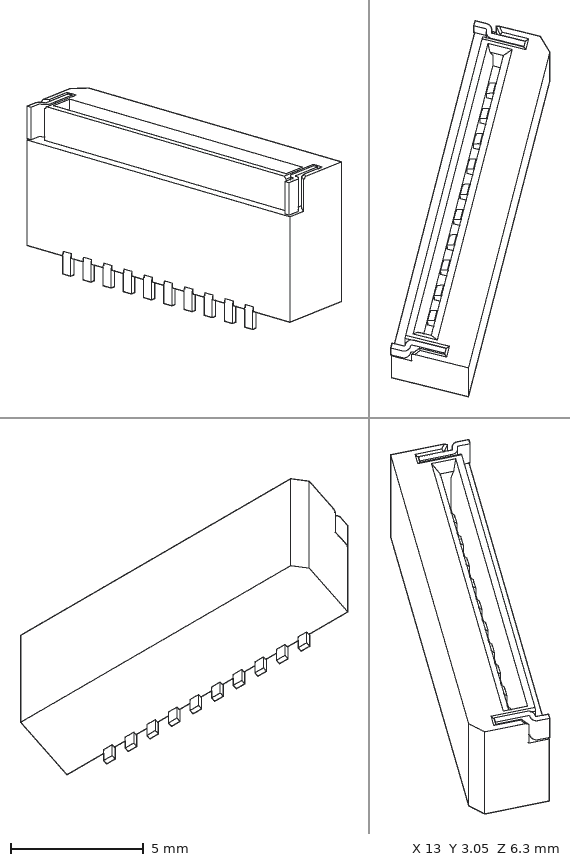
import cadquery as cq
import math

BODY_LENGTH = 13.0
BODY_DEPTH = 3.0
BODY_HEIGHT = 5.6
CORNER_CHAMFER = 0.5
HALF_LENGTH = BODY_LENGTH / 2
OVERCUT = 1.0

STEP_DROP = 1.37
TONGUE_FRONT = 0.4

MOUTH_LENGTH = 11.5
MOUTH_FRONT = 0.66
MOUTH_BACK = 1.6
FUNNEL_DEPTH = 0.5
FRONT_FLANK_DEPTH = 0.93
SLOT_LENGTH = 11.08
SLOT_FRONT = 0.9
SLOT_BACK = 1.31
SLOT_DEPTH = 3.0

CONTACT_COUNT = 10
PITCH = 1.0
CONTACT_WIDTH = 0.4
CONTACT_HEIGHT = 1.2
CONTACT_SEGMENTS = (
    (0.09, 0.05),
    (0.08, 0.09),
    (0.18, 0.25),
)
TAIL_LENGTH = 0.7
TAIL_THICKNESS = 0.2
TAIL_PROTRUSION = 0.05
TAIL_BEND_RADIUS = 0.4

CLIP_THICKNESS = 0.2
CLIP_HEIGHT = 1.3
CLIP_PROTRUSION = 0.03
CLIP_LEG_INSET = 0.02
CLIP_LEAF_INSET = 0.33
CLIP_BACK = 2.0
CLIP_JOG_Y = 0.58
CLIP_INNER_RADIUS = (CLIP_LEAF_INSET - CLIP_LEG_INSET - CLIP_THICKNESS) / 2
CLIP_OUTER_RADIUS = CLIP_INNER_RADIUS + CLIP_THICKNESS

POCKET_LIP_WIDTH = 0.3
POCKET_LIP_FRONT = 1.02
POCKET_LIP_OUTER = 0.79
POCKET_CHAMFER = 0.1


def make_housing():
    """Solid block with one chamfered rear corner and the front step."""
    block = (
        cq.Workplane("XY")
        .box(BODY_LENGTH, BODY_DEPTH, BODY_HEIGHT, centered=(True, False, False))
        .edges("|Z and <X and >Y")
        .chamfer(CORNER_CHAMFER)
    )
    step = (
        cq.Workplane("XY", origin=(0, 0, BODY_HEIGHT - STEP_DROP))
        .box(BODY_LENGTH, TONGUE_FRONT, STEP_DROP, centered=(True, False, False))
    )
    return block.cut(step)


def make_mouth():
    """Card slot with a four-sided funnel above it."""
    funnel_bottom = BODY_HEIGHT - FUNNEL_DEPTH
    flank_run = (SLOT_FRONT - MOUTH_FRONT) * FUNNEL_DEPTH / FRONT_FLANK_DEPTH
    throat_front = MOUTH_FRONT + flank_run
    throat_middle = (SLOT_BACK + throat_front) / 2
    mouth_middle = (MOUTH_BACK + MOUTH_FRONT) / 2
    funnel = (
        cq.Workplane("XY", origin=(0, throat_middle, funnel_bottom))
        .rect(SLOT_LENGTH, SLOT_BACK - throat_front)
        .workplane(offset=FUNNEL_DEPTH)
        .center(0, mouth_middle - throat_middle)
        .rect(MOUTH_LENGTH, MOUTH_BACK - MOUTH_FRONT)
        .loft(ruled=True)
    )
    slot_profile = [
        (SLOT_BACK, funnel_bottom),
        (throat_front, funnel_bottom),
        (SLOT_FRONT, BODY_HEIGHT - FRONT_FLANK_DEPTH),
        (SLOT_FRONT, BODY_HEIGHT - SLOT_DEPTH),
        (SLOT_BACK, BODY_HEIGHT - SLOT_DEPTH),
    ]
    slot = (
        cq.Workplane("YZ")
        .polyline(slot_profile)
        .close()
        .extrude(SLOT_LENGTH / 2, both=True)
    )
    return funnel.union(slot)


def make_clip_pocket():
    """Left end pocket, open to the front and side, chamfered at the top."""
    lip_inner_x = POCKET_LIP_WIDTH - HALF_LENGTH
    tongue_end_x = CLIP_LEAF_INSET + CLIP_THICKNESS - HALF_LENGTH
    lip_slope = (POCKET_LIP_OUTER - POCKET_LIP_FRONT) / POCKET_LIP_WIDTH
    outline = [
        (tongue_end_x, -OVERCUT),
        (tongue_end_x, CLIP_BACK),
        (lip_inner_x, CLIP_BACK),
        (lip_inner_x, POCKET_LIP_FRONT),
        (-HALF_LENGTH - OVERCUT, POCKET_LIP_OUTER + lip_slope * OVERCUT),
        (-HALF_LENGTH - OVERCUT, -OVERCUT),
    ]
    straight = (
        cq.Workplane("XY", origin=(0, 0, BODY_HEIGHT - STEP_DROP))
        .polyline(outline)
        .close()
        .extrude(STEP_DROP)
    )
    flare_bottom = (
        cq.Workplane("XY", origin=(0, 0, BODY_HEIGHT - POCKET_CHAMFER))
        .polyline(outline)
        .close()
        .val()
    )
    flare_top = (
        cq.Workplane("XY", origin=(0, 0, BODY_HEIGHT))
        .polyline(outline)
        .close()
        .offset2D(POCKET_CHAMFER, "intersection")
        .val()
    )
    flare = cq.Workplane(cq.Solid.makeLoft([flare_bottom, flare_top], True))
    return straight.union(flare)


def make_clip():
    """Left clip: a leaf and a leg joined by an S-shaped jog of two quarter bends."""
    leaf_outer = CLIP_LEAF_INSET - HALF_LENGTH
    leaf_inner = leaf_outer + CLIP_THICKNESS
    leg_outer = CLIP_LEG_INSET - HALF_LENGTH
    leg_inner = leg_outer + CLIP_THICKNESS
    jog_back = CLIP_JOG_Y + CLIP_THICKNESS / 2
    jog_front = CLIP_JOG_Y - CLIP_THICKNESS / 2
    meeting_x = leg_outer + CLIP_OUTER_RADIUS
    return (
        cq.Workplane("XY", origin=(0, 0, BODY_HEIGHT - CLIP_HEIGHT))
        .moveTo(leaf_inner, CLIP_BACK)
        .lineTo(leaf_outer, CLIP_BACK)
        .lineTo(leaf_outer, jog_back + CLIP_INNER_RADIUS)
        .radiusArc((meeting_x, jog_back), CLIP_INNER_RADIUS)
        .radiusArc((leg_outer, jog_back - CLIP_OUTER_RADIUS), -CLIP_OUTER_RADIUS)
        .lineTo(leg_outer, -CLIP_PROTRUSION)
        .lineTo(leg_inner, -CLIP_PROTRUSION)
        .lineTo(leg_inner, jog_front - CLIP_INNER_RADIUS)
        .radiusArc((leg_inner + CLIP_INNER_RADIUS, jog_front), CLIP_INNER_RADIUS)
        .radiusArc((leaf_inner, jog_front + CLIP_OUTER_RADIUS), -CLIP_OUTER_RADIUS)
        .close()
        .extrude(CLIP_HEIGHT)
    )


def make_contact():
    """Contact on the slot back wall, centred on X = 0, falling away to the front."""
    floor = BODY_HEIGHT - SLOT_DEPTH
    y = SLOT_BACK
    z = floor + CONTACT_HEIGHT
    profile = [(y, floor), (y, z)]
    for reach, drop in CONTACT_SEGMENTS:
        y -= reach
        z -= drop
        profile.append((y, z))
    profile.append((y, floor))
    return (
        cq.Workplane("YZ")
        .polyline(profile)
        .close()
        .extrude(CONTACT_WIDTH / 2, both=True)
    )


def make_tail():
    """Solder tail, centred on X = 0, bending down out of the front face."""
    front = -TAIL_PROTRUSION
    back = front + TAIL_THICKNESS
    bend_centre_y = front + TAIL_BEND_RADIUS

    def bend_height(y):
        return math.sqrt(TAIL_BEND_RADIUS**2 - (bend_centre_y - y) ** 2)

    middle = (front + back) / 2
    return (
        cq.Workplane("YZ")
        .moveTo(front, -TAIL_LENGTH)
        .lineTo(front, 0)
        .threePointArc((middle, bend_height(middle)), (back, bend_height(back)))
        .lineTo(back, -TAIL_LENGTH)
        .close()
        .extrude(CONTACT_WIDTH / 2, both=True)
    )


pocket = make_clip_pocket()
clip = make_clip()
contact = make_contact()
tail = make_tail()

result = make_housing().cut(make_mouth())
result = result.cut(pocket).cut(pocket.mirror("YZ"))
result = result.union(clip).union(clip.mirror("YZ"))
for index in range(CONTACT_COUNT):
    contact_x = (index - (CONTACT_COUNT - 1) / 2) * PITCH
    result = result.union(contact.translate((contact_x, 0, 0)))
    result = result.union(tail.translate((contact_x, 0, 0)))